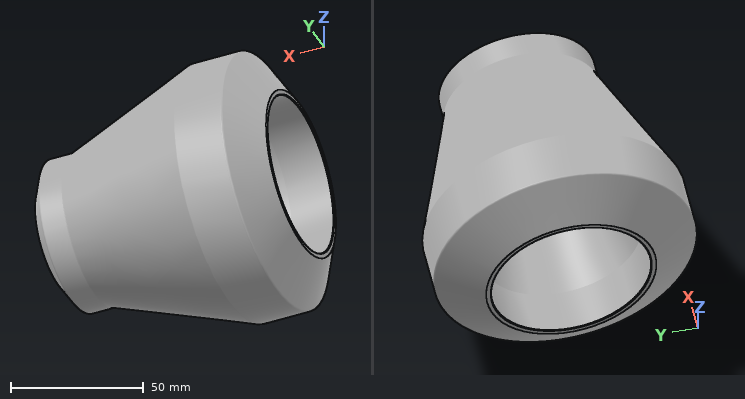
import cadquery as cq

length = 100.0
large_radius = 50.8
small_radius = 60.4 / 2

large_bore_radius = 61.6 / 2
large_bore_depth = 17.3
large_bore_chamfer = 0.3
small_bore_radius = 38.3 / 2

large_end_length = 30.0
small_end_length = 15.0

end_wall = 2.0
large_bevel_length = 10.5
small_bevel_length = 5.3

edge_radius = 1.0

cone_end = length - small_end_length


def outer_body():
    """Solid of the outer outline: bevel, cylinder, cone, cylinder, bevel."""
    outline = [
        (0, 0),
        (0, large_bore_radius + end_wall),
        (large_bevel_length, large_radius),
        (large_end_length, large_radius),
        (cone_end, small_radius),
        (length - small_bevel_length, small_radius),
        (length, small_bore_radius + end_wall),
        (length, 0),
    ]
    body = cq.Workplane("XY").polyline(outline).close().revolve(360, (0, 0, 0), (1, 0, 0))
    rounded_zone = cq.selectors.BoxSelector(
        (edge_radius, -length, -length),
        (length - edge_radius, length, length),
    )
    return body.edges("%CIRCLE").edges(rounded_zone).fillet(edge_radius)


def bore():
    """Chamfered straight large bore, tapering passage and straight small bore."""
    outline = [
        (0, 0),
        (0, large_bore_radius + large_bore_chamfer),
        (large_bore_chamfer, large_bore_radius),
        (large_bore_depth, large_bore_radius),
        (cone_end, small_bore_radius),
        (length, small_bore_radius),
        (length, 0),
    ]
    return cq.Workplane("XY").polyline(outline).close().revolve(360, (0, 0, 0), (1, 0, 0))


result = outer_body().cut(bore())